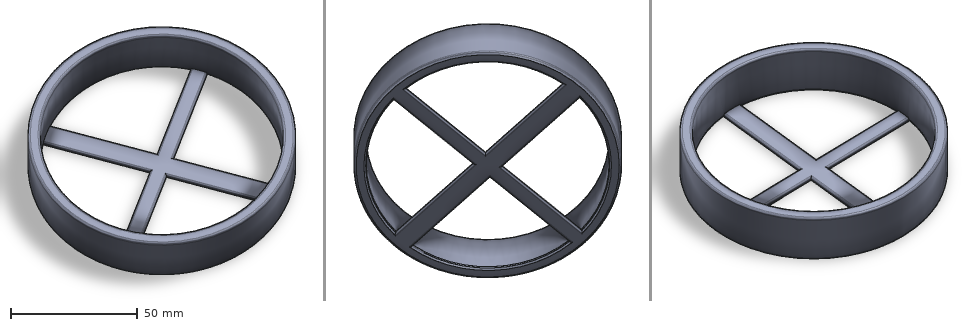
import cadquery as cq

outer_diameter = 106.0
inner_diameter = 96.0
height = 22.0
rim_round = 1.0
base_chamfer = 1.0
base_chamfer_blend = 0.8

bar_along_x_width = 8.9
bar_along_y_width = 6.8
bar_thickness = 2.0
bar_edge_round = 0.7
bar_length = (outer_diameter + inner_diameter) / 2


def make_ring():
    """Ring with a rounded top rim and blended chamfers around its base."""
    ring = cq.Workplane("XY").circle(outer_diameter / 2).circle(inner_diameter / 2).extrude(height)
    ring = ring.faces(">Z").edges().fillet(rim_round)
    ring = ring.faces("<Z").edges().chamfer(base_chamfer)

    return ring.faces("%CONE").edges(">Z").fillet(base_chamfer_blend)


def make_cross():
    """Two crossing bars with rounded long edges, above and below."""
    centered = (True, True, False)
    bar_x = cq.Workplane("XY").box(bar_length, bar_along_x_width, bar_thickness, centered=centered)
    bar_y = cq.Workplane("XY").box(bar_along_y_width, bar_length, bar_thickness, centered=centered)
    cross = bar_x.union(bar_y)
    return cross.faces("|Z").edges().fillet(bar_edge_round)


result = make_ring().union(make_cross())